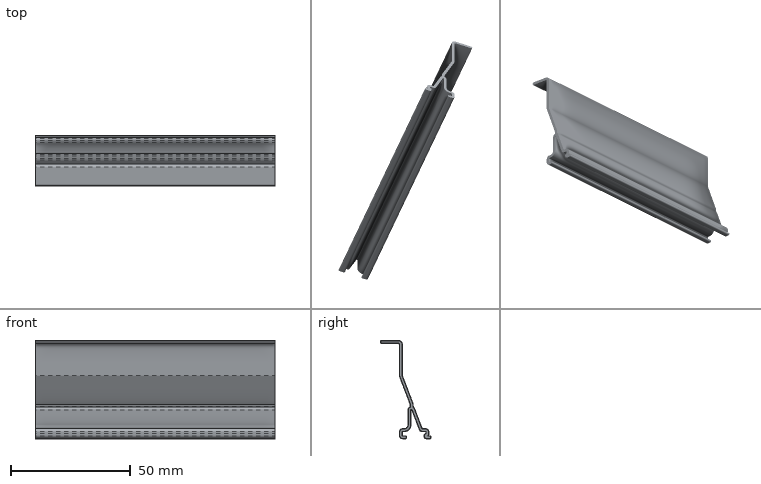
import cadquery as cq
import math

length = 100.0
thickness = 1.2
half = thickness / 2
width = 21.1
height = 41.0

flange_height = height - half
flange_tip = width - half
web_across = 12.6
web_bottom = 26.3
top_bend = 1.0

neck_across = 8.1
neck_top = 14.5
neck_bottom = 13.4
slope = (web_across - neck_across) / (web_bottom - neck_top)

shoulder_height = 3.6
toe_height = half
foot_bend = 0.8

rear_leg_across = 7.4
rear_leg_top = 12.2
rear_bend = 0.7
rear_heel = 1.5
rear_jog_height = 1.7
rear_jog_bend = 0.4
rear_hook_across = 2.3
rear_hook_height = 1.5
rear_hook_start_bend = 0.3
rear_hook_end_bend = 0.5

leg_across = 9.0
leg_top = 12.7
leg_top_bend = 0.7
leg_bottom_bend = 2.2
front_heel = web_across
front_toe_tip = 10.8


def toward(start, end, distance):
    """Point a given distance from start on the way to end."""
    span = math.dist(start, end)
    return tuple(s + (e - s) * distance / span for s, e in zip(start, end))


def strip(start, bends, end):
    """Round-ended strip along a centreline; each bend is (corner, centreline radius)."""
    corners = [start] + [corner for corner, radius in bends] + [end]
    section = cq.Workplane(cq.Plane(origin=(0, 0, 0), xDir=(0, -1, 0), normal=(-1, 0, 0)))
    path = section.moveTo(*start)
    for before, (corner, radius), after in zip(corners, bends, corners[2:]):
        if radius == 0:
            path = path.lineTo(*corner)
            continue
        heading_in = math.atan2(corner[1] - before[1], corner[0] - before[0])
        heading_out = math.atan2(after[1] - corner[1], after[0] - corner[0])
        half_turn = abs(math.remainder(heading_out - heading_in, 2 * math.pi)) / 2
        setback = radius * math.tan(half_turn)
        arc_start = toward(corner, before, setback)
        arc_end = toward(corner, after, setback)
        chord_middle = tuple((a + b) / 2 for a, b in zip(arc_start, arc_end))
        arc_middle = toward(corner, chord_middle, radius / math.cos(half_turn) - radius)
        path = path.lineTo(*arc_start).threePointArc(arc_middle, arc_end)
    return path.lineTo(*end).wire().offset2D(half).extrude(length / 2, both=True)


def main_web():
    """Top flange, upright web, sloping web, neck, rear leg and rear foot."""
    rear_ankle = rear_leg_across - (rear_leg_top - shoulder_height) * slope
    bends = [
        ((web_across, flange_height), top_bend),
        ((web_across, web_bottom), 0),
        ((neck_across, neck_top), 0),
        ((neck_across, neck_bottom), 0),
        ((rear_leg_across, rear_leg_top), 0),
        ((rear_ankle, shoulder_height), rear_bend),
        ((rear_heel, shoulder_height), foot_bend),
        ((rear_heel, rear_jog_height), rear_jog_bend),
        ((rear_hook_across, rear_hook_height), rear_hook_start_bend),
        ((rear_hook_across, toe_height), rear_hook_end_bend),
    ]
    return strip((flange_tip, flange_height), bends, (half, toe_height))


def front_leg():
    """Branch leg with its inward-curled foot."""
    bends = [
        ((leg_across, leg_top), leg_top_bend),
        ((leg_across, shoulder_height), leg_bottom_bend),
        ((front_heel, shoulder_height), foot_bend),
        ((front_heel, toe_height), foot_bend),
    ]
    return strip((neck_across, leg_top), bends, (front_toe_tip, toe_height))


result = main_web().union(front_leg())